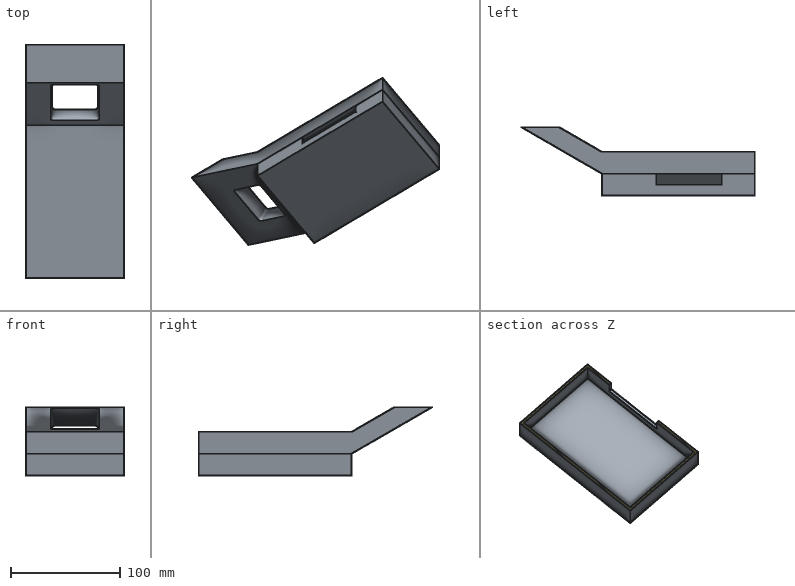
import cadquery as cq
import math

WIDTH = 90.0
TOTAL_LENGTH = 213.6
BASE_LENGTH = 140.0
LAYER_HEIGHT = 20.0
ARM_ANGLE = 30.0

ARM_RUN = TOTAL_LENGTH - BASE_LENGTH
ARM_RISE = ARM_RUN * math.tan(math.radians(ARM_ANGLE))
COVER_TOP = 2 * LAYER_HEIGHT
ARM_TOP = LAYER_HEIGHT + ARM_RISE
SLOPE_RISE = ARM_TOP - COVER_TOP
SLOPE_RUN = SLOPE_RISE / math.tan(math.radians(ARM_ANGLE))
ARM_THICKNESS = LAYER_HEIGHT * math.cos(math.radians(ARM_ANGLE))

WINDOW_WIDTH = 44.5
WINDOW_LENGTH = 37.4
WINDOW_OFFSET = 5.1
WINDOW_TAPER = 5.0
WINDOW_CORNER_RADIUS = 2.5
WINDOW_OVERRUN = 2.1

WALL = 3.0
SLOT_LENGTH = 60.0
SLOT_DEPTH = LAYER_HEIGHT / 2
SLOT_REAR_OFFSET = 49.8


def make_window_cutter():
    """Tapered plug with rounded corners, sunk square to the sloping face."""
    cut_depth = ARM_THICKNESS + WINDOW_OVERRUN
    angle = math.radians(ARM_ANGLE)
    centre_distance = WINDOW_OFFSET + WINDOW_LENGTH / 2
    slope_plane = cq.Plane(
        origin=(
            0,
            BASE_LENGTH + centre_distance * math.cos(angle),
            COVER_TOP + centre_distance * math.sin(angle),
        ),
        xDir=(1, 0, 0),
        normal=(0, -math.sin(angle), math.cos(angle)),
    )
    plug = (
        cq.Workplane("XY")
        .rect(WINDOW_WIDTH, WINDOW_LENGTH)
        .extrude(-cut_depth, taper=WINDOW_TAPER)
        .edges("not #Z")
        .fillet(WINDOW_CORNER_RADIUS)
    )
    return plug.val().moved(slope_plane.location)


def make_cover():
    """Flat slab that bends up into a sloping arm with a level top."""
    profile = [
        (0, LAYER_HEIGHT),
        (BASE_LENGTH, LAYER_HEIGHT),
        (TOTAL_LENGTH, ARM_TOP),
        (BASE_LENGTH + SLOPE_RUN, ARM_TOP),
        (BASE_LENGTH, COVER_TOP),
        (0, COVER_TOP),
    ]
    slab = cq.Workplane("YZ").polyline(profile).close().extrude(WIDTH / 2, both=True)
    return slab.cut(make_window_cutter())


def make_tray():
    """Open-topped box, closed by the cover, with a slot at the rim of its -X wall."""
    tray = cq.Workplane("XY").box(WIDTH, BASE_LENGTH, LAYER_HEIGHT, centered=(True, False, False))
    cavity = (
        cq.Workplane("XY", origin=(0, WALL, WALL))
        .box(
            WIDTH - 2 * WALL,
            BASE_LENGTH - 2 * WALL,
            LAYER_HEIGHT - WALL,
            centered=(True, False, False),
        )
    )
    slot_start = BASE_LENGTH - SLOT_REAR_OFFSET - SLOT_LENGTH
    slot = (
        cq.Workplane("XY", origin=(-WIDTH / 2, slot_start, LAYER_HEIGHT - SLOT_DEPTH))
        .box(WALL, SLOT_LENGTH, SLOT_DEPTH, centered=False)
    )
    return tray.cut(cavity).cut(slot)


cover = make_cover()
tray = make_tray()

result = cq.Compound.makeCompound([cover.val(), tray.val()])